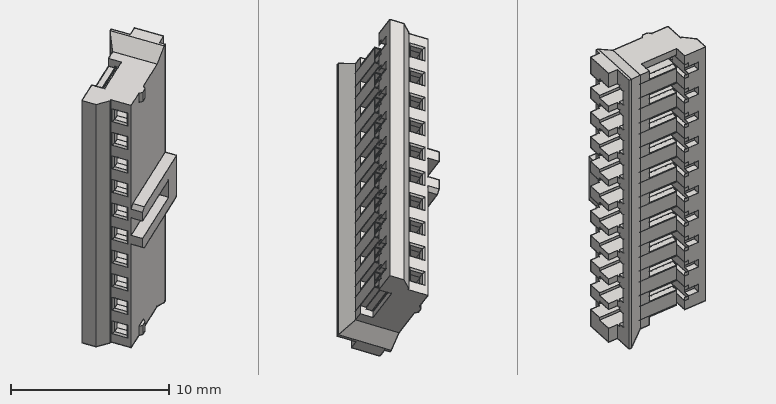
import cadquery as cq


positions = 10
row_span = 18.0
pitch = row_span / (positions - 1)
position_centers = [(i - (positions - 1) / 2) * pitch for i in range(positions)]

body_height = 20.58
body_left = 0.65
body_right = 3.7
face_y = 0.78
nose_tip_x = 1.64
nose_step_x = 2.3
nose_step_y = nose_step_x - nose_tip_x

flange_height = 21.8
flare_start_y = 5.01
flare_end_y = 6.15
flange_rear_y = 6.32
tab_left = 1.3
tab_right = 3.31
tab_rear_y = 7.0

slot_front_y = 1.61
slot_rear_y = 4.32
slot_floor_x = 1.55
lance_inner_x = 1.1
lance_front_y = 2.22
lance_width = 1.26

cavity_width = 1.11
cavity_skin = 0.01
cavity_left = body_left + cavity_skin
cavity_right = 3.49
cavity_front_y = 1.3
wide_cavity_width = 1.53
wide_cavity_right = nose_step_x

entry_center_x = 2.95
entry_size = 0.85
entry_bevel = 0.12

groove_floor_x = 1.1
groove_width = 0.59
groove_front_y = 0.57

latch_outer_x = 4.5
latch_height = 3.49
latch_chamfer = 0.26
latch_gap = 1.48
latch_gap_rear_y = flare_start_y
bump_depth = 0.2
bump_length = 0.78
bump_front_y = 2.03
bump_rear_y = 2.8


def block(x_range, y_range, z_center, z_size):
    """Axis-aligned box given by X and Y limits and a height centred on z_center."""
    size_x = x_range[1] - x_range[0]
    size_y = y_range[1] - y_range[0]
    corner = (x_range[0], y_range[0], z_center - z_size / 2)
    return cq.Workplane("XY").box(size_x, size_y, z_size, centered=False).translate(corner)


def prism(points, z_start, height):
    """Extrude a closed XY outline along Z."""
    return cq.Workplane("XY").workplane(offset=z_start).polyline(points).close().extrude(height)


def make_body():
    """Main block with a nose that slopes at 45 degrees back to the front face."""
    outline = [
        (body_left, 0),
        (nose_tip_x, 0),
        (nose_step_x, nose_step_y),
        (nose_step_x, face_y),
        (body_right, face_y),
        (body_right, flange_rear_y),
        (body_left, flange_rear_y),
    ]
    return prism(outline, -body_height / 2, body_height)


def make_flange():
    """Flare on the lance side and both ends, flush on the latch side, with rear tabs."""
    base_width = body_right - body_left
    flare = (
        cq.Workplane("XZ", origin=(body_right - base_width / 2, flare_start_y, 0))
        .rect(base_width, body_height)
        .workplane(offset=flare_start_y - flare_end_y, origin=(body_right / 2, flare_end_y, 0))
        .rect(body_right, flange_height)
        .loft(ruled=True)
    )
    rim = block((0, body_right), (flare_end_y, flange_rear_y), 0, flange_height)
    tabs = block((tab_left, tab_right), (flange_rear_y, tab_rear_y), 0, flange_height)
    return flare.union(rim).union(tabs)


def make_side_slot():
    """Slot on the lance side, open at both ends of the row."""
    return block((body_left, slot_floor_x), (slot_front_y, slot_rear_y), 0, body_height)


def make_lance(z):
    """Cantilever finger reaching forward through the slot."""
    return block((body_left, lance_inner_x), (lance_front_y, slot_rear_y), z, lance_width)


def make_cavity(z):
    """Stepped contact cavity, open at the rear, with its bevelled entry and lance groove."""
    wide = block((lance_inner_x, wide_cavity_right), (slot_front_y, tab_rear_y), z, wide_cavity_width)
    narrow = block((cavity_left, cavity_right), (cavity_front_y, tab_rear_y), z, cavity_width)
    entry_x = (entry_center_x - entry_size / 2, entry_center_x + entry_size / 2)
    entry = block(entry_x, (face_y, cavity_front_y), z, entry_size)
    funnel_size = entry_size + 2 * entry_bevel
    funnel = (
        cq.Workplane("XZ", origin=(entry_center_x, face_y, z))
        .rect(funnel_size, funnel_size)
        .workplane(offset=-entry_bevel)
        .rect(entry_size, entry_size)
        .loft(ruled=True)
    )
    groove = block((body_left, groove_floor_x), (groove_front_y, slot_front_y), z, groove_width)
    cavity = wide
    for cut in (narrow, entry, funnel, groove):
        cavity = cavity.union(cut)
    return cavity


def make_latch():
    """Two forward prongs with chamfered outer corners, joined at the rear."""
    latch = block((body_right, latch_outer_x), (face_y, flange_rear_y), 0, latch_height)
    latch = latch.faces("<Y").edges("|X").chamfer(latch_chamfer)
    gap = block((body_right, latch_outer_x), (face_y, latch_gap_rear_y), 0, latch_gap)
    return latch.cut(gap)


def make_bump(z_start):
    """Small trapezoidal key on the latch side, at one end of the row."""
    outline = [
        (body_right, bump_front_y),
        (body_right + bump_depth, bump_front_y + bump_depth),
        (body_right + bump_depth, bump_rear_y - bump_depth),
        (body_right, bump_rear_y),
    ]
    return prism(outline, z_start, bump_length)


result = make_body().union(make_flange()).cut(make_side_slot())
for z in position_centers:
    result = result.union(make_lance(z)).cut(make_cavity(z))
result = result.union(make_latch())
for z_start in (-body_height / 2, body_height / 2 - bump_length):
    result = result.union(make_bump(z_start))